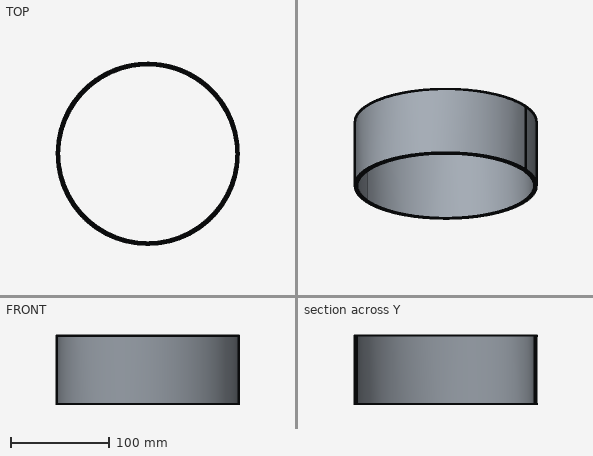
import cadquery as cq

OUTER_DIAMETER = 185.0
WALL_THICKNESS = 2.5
HEIGHT = 70.0
OUTER_CHAMFER = 0.5
INNER_CHAMFER = 0.2
SPLIT_WIDTH = 1.5

OUTER_RADIUS = OUTER_DIAMETER / 2
INNER_RADIUS = OUTER_RADIUS - WALL_THICKNESS
RIM_OUTER_RADIUS = OUTER_RADIUS - OUTER_CHAMFER
RIM_INNER_RADIUS = INNER_RADIUS + INNER_CHAMFER


def make_band():
    """Closed cylindrical band standing on Z = 0, its rims chamfered outside and inside."""
    wall_section = (
        cq.Workplane("XZ")
        .moveTo(RIM_INNER_RADIUS, 0)
        .lineTo(RIM_OUTER_RADIUS, 0)
        .lineTo(OUTER_RADIUS, OUTER_CHAMFER)
        .lineTo(OUTER_RADIUS, HEIGHT - OUTER_CHAMFER)
        .lineTo(RIM_OUTER_RADIUS, HEIGHT)
        .lineTo(RIM_INNER_RADIUS, HEIGHT)
        .lineTo(INNER_RADIUS, HEIGHT - INNER_CHAMFER)
        .lineTo(INNER_RADIUS, INNER_CHAMFER)
        .close()
    )
    axis_start = (0, 0, 0)
    axis_end = (0, 1, 0)
    return wall_section.revolve(360, axis_start, axis_end)


def make_split():
    """Full-height slot through the -X wall, with one face on the Y = 0 plane and the other at +Y."""
    slot = cq.Workplane("XY").box(OUTER_RADIUS, SPLIT_WIDTH, HEIGHT, centered=False)
    return slot.translate((-OUTER_RADIUS, 0, 0))


result = make_band().cut(make_split())